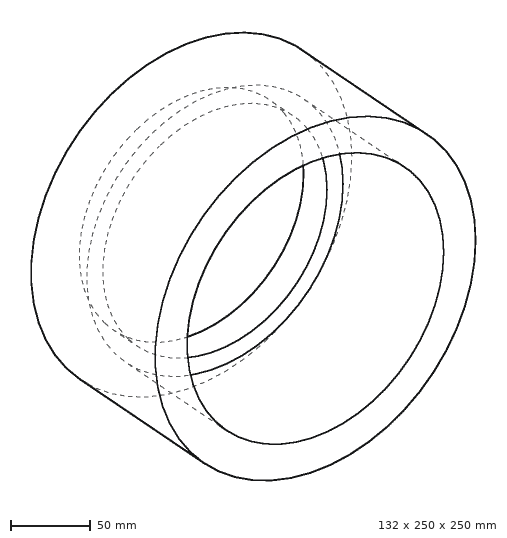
import cadquery as cq

ring_length = 132.0
outer_diameter = 250.0
lip_bore_diameter = 175.0
main_bore_diameter = 200.0
lip_length = 25.0


def cylinder_along_x(diameter, start, length):
    """Solid cylinder on the X axis, from start towards +X."""
    return cq.Workplane("YZ").workplane(offset=start).circle(diameter / 2).extrude(length)


left_end = -ring_length / 2
main_bore_length = ring_length - lip_length

body = cylinder_along_x(outer_diameter, left_end, ring_length)
lip_bore = cylinder_along_x(lip_bore_diameter, left_end, ring_length)
main_bore = cylinder_along_x(main_bore_diameter, left_end + lip_length, main_bore_length)

result = body.cut(lip_bore).cut(main_bore)